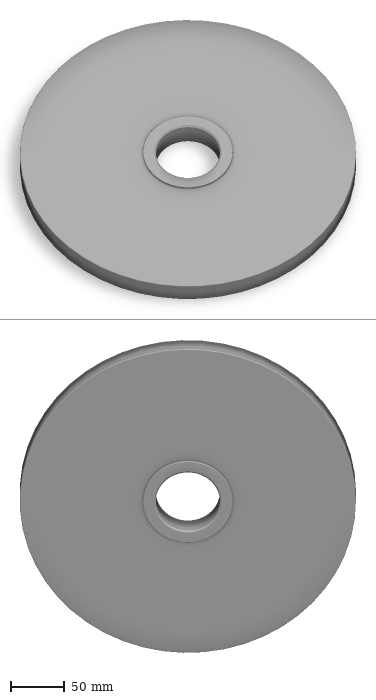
import cadquery as cq

bore_diameter = 60.02
bore_chamfer = 1.5
hub_diameter = 84.0
hub_width = 24.5
hub_chamfer = 0.5
web_diameter = 209.2
web_width = 19.6
core_diameter = 309.24
rim_width = 19.5
rim_chamfer = 1.0

cover_diameter = 315.0
cover_width = 20.5
cover_opening_diameter = 86.0
cover_fillet = 1.0


def make_core():
    """Revolved hub with a web that reaches out to a chamfered rim."""
    bore_radius = bore_diameter / 2
    hub_radius = hub_diameter / 2
    rim_radius = core_diameter / 2
    hub_top = hub_width / 2
    rim_top = rim_width / 2
    web_top = web_width / 2
    upper_half = [
        (bore_radius, hub_top - bore_chamfer),
        (bore_radius + bore_chamfer, hub_top),
        (hub_radius - hub_chamfer, hub_top),
        (hub_radius, hub_top - hub_chamfer),
        (hub_radius, web_top),
        (web_diameter / 2, web_top),
        (rim_radius - rim_chamfer, rim_top),
        (rim_radius, rim_top - rim_chamfer),
    ]
    lower_half = [(radius, -height) for radius, height in reversed(upper_half)]
    profile = cq.Workplane("XZ").polyline(upper_half + lower_half).close()
    return profile.revolve(360, (0, 0, 0), (0, 1, 0))


def make_cover(core):
    """Round-edged disc with a central opening, hollowed to fit the core."""
    disc = (
        cq.Workplane("XY")
        .circle(cover_diameter / 2)
        .extrude(cover_width / 2, both=True)
        .faces("|Z")
        .edges()
        .fillet(cover_fillet)
    )
    opening = (
        cq.Workplane("XY")
        .circle(cover_opening_diameter / 2)
        .extrude(cover_width, both=True)
    )
    return disc.cut(opening).cut(core)


core = make_core()
cover = make_cover(core)
result = cq.Compound.makeCompound([core.val(), *cover.solids().vals()])